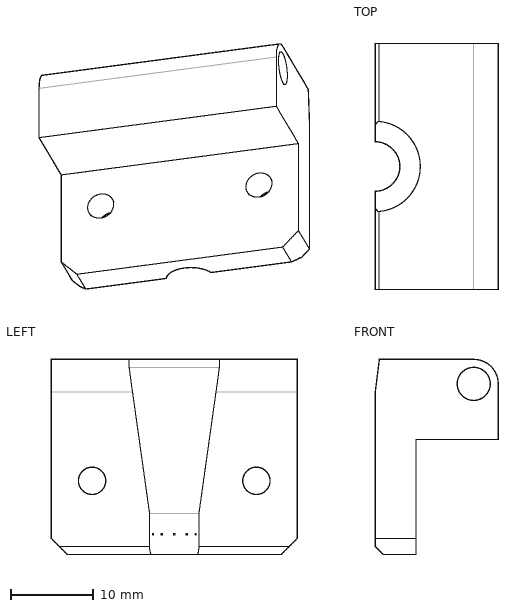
import cadquery as cq
import math

width = 30.0
height = 23.8
depth = 15.0
leg_thickness = 5.0
head_underside = 14.0

hinge_radius = 3.0
hinge_hole_diameter = 4.0

relief_depth = 0.5
relief_height = 4.0
toe_chamfer = 1.0
corner_chamfer = 2.0

screw_hole_diameter = 3.3
screw_spacing = 20.0
screw_height = 9.0

bore_radius = 3.0
bore_height = 5.0
mouth_radius = 5.5
mouth_depth = 1.0

pin_hole_diameter = 0.2
pin_hole_depth = 0.5
pin_hole_height = bore_height / 2
pin_hole_pitch_angle = 30
pin_holes_each_side = 2


def make_body():
    """L-shaped profile in XZ, extruded along Y about the middle plane."""
    hinge_x = depth - hinge_radius
    hinge_z = height - hinge_radius
    return (
        cq.Workplane("XZ")
        .moveTo(toe_chamfer, 0)
        .lineTo(leg_thickness, 0)
        .lineTo(leg_thickness, head_underside)
        .lineTo(depth, head_underside)
        .lineTo(depth, hinge_z)
        .radiusArc((hinge_x, height), -hinge_radius)
        .lineTo(relief_depth, height)
        .lineTo(0, height - relief_height)
        .lineTo(0, toe_chamfer)
        .close()
        .extrude(width / 2, both=True)
        .faces("<Z")
        .edges("|X")
        .chamfer(corner_chamfer)
    )


def make_hinge_hole():
    """Hinge pin hole, concentric with the rounded top edge."""
    return (
        cq.Workplane("XZ")
        .center(depth - hinge_radius, height - hinge_radius)
        .circle(hinge_hole_diameter / 2)
        .extrude(width, both=True)
    )


def make_screw_holes():
    """Pair of screw holes through the leg, along X."""
    return (
        cq.Workplane("YZ")
        .pushPoints([(side * screw_spacing / 2, screw_height) for side in (-1, 1)])
        .circle(screw_hole_diameter / 2)
        .extrude(leg_thickness)
    )


def make_funnel():
    """Straight bore, conical funnel and short straight mouth, revolved about Z."""
    return (
        cq.Workplane("XZ")
        .lineTo(bore_radius, 0)
        .lineTo(bore_radius, bore_height)
        .lineTo(mouth_radius, height - mouth_depth)
        .lineTo(mouth_radius, height)
        .lineTo(0, height)
        .close()
        .revolve(360, (0, 0, 0), (0, 1, 0))
    )


def make_pin_hole(angle):
    """One radial pin hole starting on the bore axis, at an angle from +X."""
    direction = cq.Vector(math.cos(math.radians(angle)), math.sin(math.radians(angle)), 0)
    start = cq.Vector(0, 0, pin_hole_height)
    length = bore_radius + pin_hole_depth
    return cq.Solid.makeCylinder(pin_hole_diameter / 2, length, start, direction)


result = make_body().cut(make_hinge_hole()).cut(make_screw_holes()).cut(make_funnel())
for step in range(-pin_holes_each_side, pin_holes_each_side + 1):
    result = result.cut(cq.Workplane(make_pin_hole(step * pin_hole_pitch_angle)))